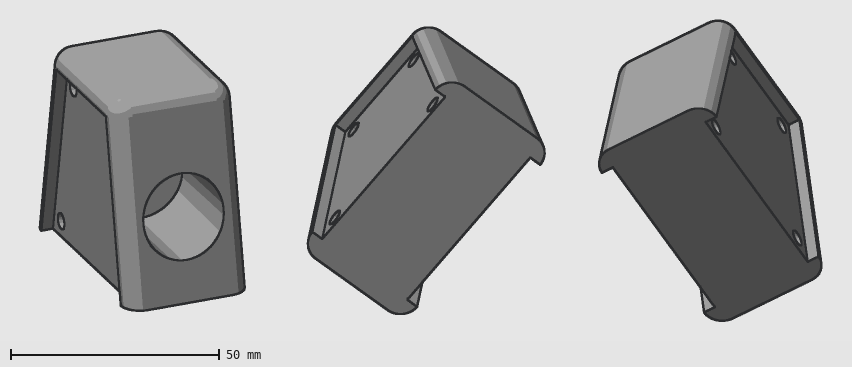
import cadquery as cq
import math

base_width = 57.9
top_width = 38.0
depth = 32.0
height = 51.05
edge_radius = 5.0

recess_depth = 3.0

screw_diameter = 4.0
lower_screw_x, lower_screw_z = 19.0, 4.0
upper_screw_x, upper_screw_z = 11.7, 41.95

bore_diameter = 21.0
bore_height = 20.95
bore_floor_x = 0.0

side_run = (base_width - top_width) / 2
side_angle = math.atan2(side_run, height)


def half_width(z):
    """Half the block width at height z."""
    return base_width / 2 - side_run * z / height


def trapezoid_prism(z_top, side_inset, y_start, length):
    """Prism along +Y whose sides are moved in along X by side_inset."""
    bottom_x = half_width(0) - side_inset
    top_x = half_width(z_top) - side_inset
    outline = [(-bottom_x, 0), (bottom_x, 0), (top_x, z_top), (-top_x, z_top)]
    return cq.Workplane("XZ", origin=(0, y_start, 0)).polyline(outline).close().extrude(-length)


def rounded_block():
    """Tapered block with every edge rounded except those of the base."""
    block = trapezoid_prism(height, 0, -depth / 2, depth)
    return block.edges("not <Z").fillet(edge_radius)


def face_recess(y_start):
    """Panel pocket reaching out to where the edge rounding begins."""
    rim_inset = edge_radius / math.cos(side_angle)
    return trapezoid_prism(height - edge_radius, rim_inset, y_start, recess_depth)


def screw_holes():
    """Four cylinders spanning the block along Y."""
    centres = [
        (side * x, z)
        for side in (-1, 1)
        for x, z in ((lower_screw_x, lower_screw_z), (upper_screw_x, upper_screw_z))
    ]
    plane = cq.Workplane("XZ", origin=(0, -depth / 2, 0))
    return plane.pushPoints(centres).circle(screw_diameter / 2).extrude(-depth)


def side_bore():
    """Horizontal cylinder from the bore floor out past the sloping side."""
    plane = cq.Workplane("YZ", origin=(bore_floor_x, 0, bore_height))
    return plane.circle(bore_diameter / 2).extrude(base_width / 2 - bore_floor_x)


result = rounded_block()
for recess_start in (-depth / 2, depth / 2 - recess_depth):
    result = result.cut(face_recess(recess_start))
result = result.cut(screw_holes()).cut(side_bore())